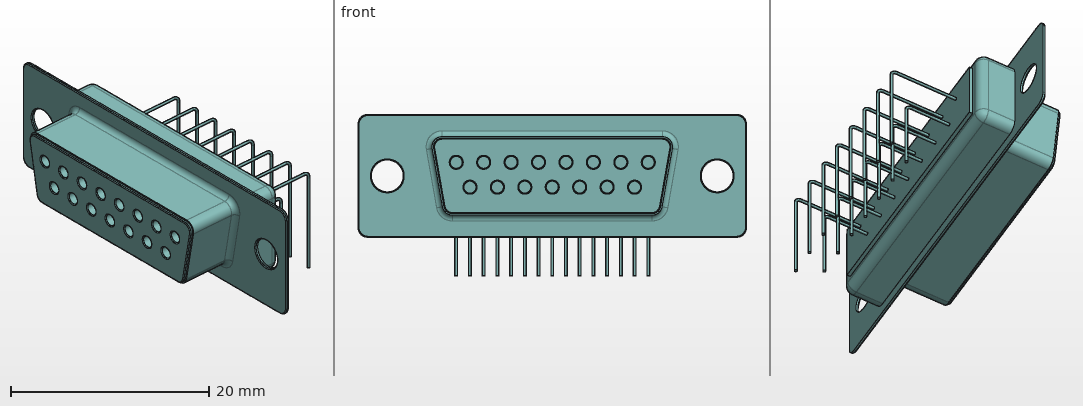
import cadquery as cq
import math

edge_bevel = 0.1
bevel_angle = 45.0

flange_width = 39.2
flange_height = 12.4
flange_thickness = 0.3
flange_corner_radius = 0.98
mount_hole_diameter = 3.2
mount_hole_spacing = 33.3

shell_width = 24.25
shell_height = 7.9
shell_length = 5.8
shell_wall = 0.15
shell_side_angle = 10.0
shell_corner_radius = 1.0
shell_flare_radius = 0.6
nose_projection = 0.3

housing_width = 27.75
housing_height = 9.8
housing_depth = 4.05
housing_corner_radius = 1.0
housing_edge_radius = 0.98
insulator_width = 24.77
insulator_height = 7.05
insulator_thickness = 0.4

contact_pitch = 2.768
upper_contact_count = 8
lower_contact_count = 7
socket_diameter = 1.2
socket_depth = 3.92
upper_socket_z = 1.37
lower_socket_z = -1.15
pin_row_spacing = 2.6
pin_diameter = 0.3
pin_bend_radius = 0.63
upper_pin_reach = 12.25
lower_pin_reach = 9.72
pin_tip_drop = 10.07

nose_front = -shell_length - nose_projection
flange_back = flange_thickness
housing_back = flange_back + housing_depth
insulator_back = housing_back + insulator_thickness


def front_plane(y):
    """Sketch plane facing -Y at the given Y, with X right and Z up."""
    return cq.Workplane("XZ", origin=(0, y, 0))


def row_positions(count):
    """X positions of a row of contacts centred on X = 0."""
    return [(i - (count - 1) / 2) * contact_pitch for i in range(count)]


def make_flange():
    holes = [(-mount_hole_spacing / 2, 0), (mount_hole_spacing / 2, 0)]
    plate = (
        front_plane(flange_back)
        .rect(flange_width, flange_height)
        .extrude(flange_thickness)
        .edges("|Y")
        .fillet(flange_corner_radius)
    )
    drill = (
        front_plane(flange_back)
        .pushPoints(holes)
        .circle(mount_hole_diameter / 2)
        .extrude(flange_thickness)
    )
    return plate.cut(drill).faces("<Y").chamfer(edge_bevel)


def d_prism(inset, length):
    """D-shaped prism running forward from Y = 0, its sides set in from the shell surface."""
    angle = math.radians(shell_side_angle)
    half_height = shell_height / 2 - inset
    corner_radius = shell_corner_radius - inset
    arc_x = shell_width / 2 - shell_corner_radius
    top_x = arc_x + corner_radius * (1 / math.cos(angle) + math.tan(angle))
    bottom_x = top_x - 2 * half_height * math.tan(angle)
    corners = [
        (-top_x, half_height),
        (top_x, half_height),
        (bottom_x, -half_height),
        (-bottom_x, -half_height),
    ]
    return front_plane(0).polyline(corners).close().extrude(length).edges("|Y").fillet(corner_radius)


def make_nose():
    """Insulator filling the shell and standing slightly proud of its front rim."""
    return d_prism(shell_wall, shell_length + nose_projection).faces("<Y").chamfer(edge_bevel)


def add_flare(body):
    """Round the inside corner where the shell meets the flange."""
    x_reach = shell_width / 2 + shell_flare_radius
    z_reach = shell_height / 2 + shell_flare_radius
    y_reach = flange_thickness / 4
    root = cq.selectors.BoxSelector((-x_reach, -y_reach, -z_reach), (x_reach, y_reach, z_reach))
    return body.edges(root).fillet(shell_flare_radius)


def make_housing():
    return (
        front_plane(housing_back)
        .rect(housing_width, housing_height)
        .extrude(housing_depth)
        .edges("|Y")
        .fillet(housing_corner_radius)
        .faces(">Y")
        .edges()
        .fillet(housing_edge_radius)
    )


def make_insulator():
    return front_plane(insulator_back).rect(insulator_width, insulator_height).extrude(insulator_thickness)


def make_socket_row(count, z):
    """Blind bores with a beveled mouth, to be cut from the front face."""
    points = [(x, z) for x in row_positions(count)]
    mouth = socket_diameter + 2 * edge_bevel
    bores = (
        front_plane(nose_front + socket_depth)
        .pushPoints(points)
        .circle(socket_diameter / 2)
        .extrude(socket_depth)
    )
    bevels = (
        front_plane(nose_front)
        .pushPoints(points)
        .circle(mouth / 2)
        .extrude(-edge_bevel, taper=bevel_angle)
    )
    return bores.union(bevels)


def make_pin(x, z, reach):
    """Pin running back from the insulator, then bent straight down."""
    bend_start = reach - pin_bend_radius
    path = (
        cq.Workplane("YZ", origin=(x, 0, 0))
        .moveTo(housing_back, z)
        .lineTo(bend_start, z)
        .tangentArcPoint((reach, z - pin_bend_radius), relative=False)
        .lineTo(reach, -pin_tip_drop)
    )
    return cq.Workplane("XZ", origin=(x, housing_back, z)).circle(pin_diameter / 2).sweep(path)


result = add_flare(make_flange().union(d_prism(0, shell_length)))
result = result.union(make_nose()).union(make_housing()).union(make_insulator())

for count, socket_z, pin_z, reach in [
    (upper_contact_count, upper_socket_z, pin_row_spacing / 2, upper_pin_reach),
    (lower_contact_count, lower_socket_z, -pin_row_spacing / 2, lower_pin_reach),
]:
    result = result.cut(make_socket_row(count, socket_z))
    for x in row_positions(count):
        result = result.union(make_pin(x, pin_z, reach))